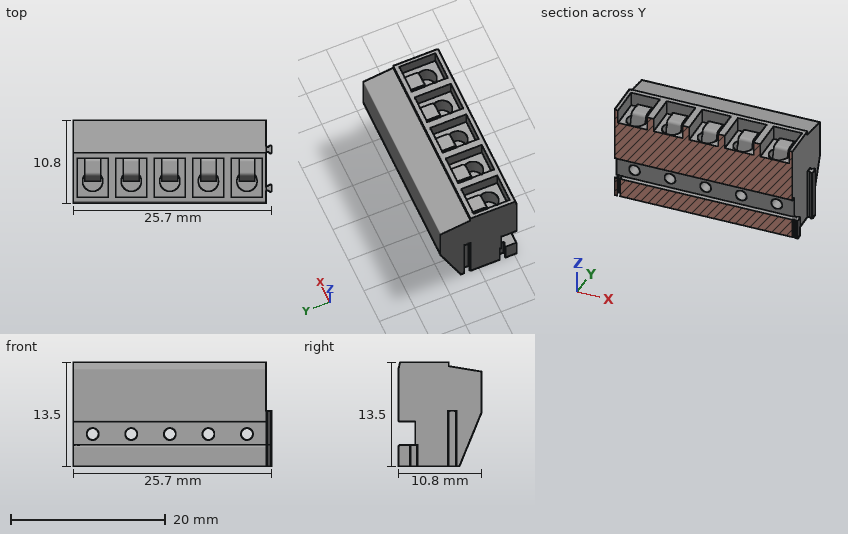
import cadquery as cq
import math


total_length = 25.7
depth = 10.8
height = 13.5
rail_reach = 0.75
body_length = total_length - rail_reach

pole_count = 5
pitch = body_length / pole_count
row_shift = 0.03

roof_step_y = 6.55
roof_step_z = 12.98
back_top_z = 12.28
back_knee_z = 7.0
back_foot_y = 7.92
notch_y = 2.18
ledge_z = 2.8
notch_top_z = 5.78
front_bevel_z = 12.57
front_bevel_y = 0.2
brow_radius = 0.2
back_radius = 0.13
lip_radius = 0.2
bevel_radius = 0.51
ledge_radius = 0.33

wire_hole_diameter = 1.52
wire_hole_z = 4.2

pocket_width = 4.0
pocket_front_y = 0.8
pocket_back_y = 5.89
pocket_floor_z = 11.55

well_diameter = 2.62
well_y = 2.88
well_floor_z = 9.0

lever_width = 2.03
lever_top_z = pocket_floor_z + 0.57
lever_wall_z = pocket_floor_z + 0.35
lever_crest_y = 5.42
lever_bend_y = 4.03
lever_bend_radius = 0.5

rail_neck_half = 0.3
rail_neck_x = 0.23
rail_head_x = 0.57
head_overhang = 0.13
slot_clearance = 0.03
front_rail_y = 1.98
front_mouth_half = 0.39
back_rail_y = 7.0
back_mouth_half = 0.44
back_rail_height = 7.17
rails = [
    (front_rail_y, front_mouth_half, ledge_z),
    (back_rail_y, back_mouth_half, back_rail_height),
]


def make_body():
    """Extrude the end profile along X and round its exposed long edges."""
    profile = [
        (0, 0),
        (back_foot_y, 0),
        (depth, back_knee_z),
        (depth, back_top_z),
        (roof_step_y, roof_step_z),
        (roof_step_y, height),
        (front_bevel_y, height),
        (0, front_bevel_z),
        (0, notch_top_z),
        (notch_y, notch_top_z),
        (notch_y, ledge_z),
        (0, ledge_z),
    ]
    body = cq.Workplane("YZ").polyline(profile).close().extrude(body_length)
    rounded_edges = [
        (front_bevel_y, height, brow_radius),
        (0, front_bevel_z, bevel_radius),
        (depth, back_top_z, back_radius),
        (0, notch_top_z, lip_radius),
        (0, ledge_z, ledge_radius),
    ]
    for y, z, radius in rounded_edges:
        edge = cq.selectors.NearestToPointSelector((body_length / 2, y, z))
        body = body.edges("|X").edges(edge).fillet(radius)
    return body


def make_pole_cut(x):
    """Pocket, well and wire hole of the pole centred at x."""
    pocket = cq.Workplane("XY").box(
        pocket_width,
        pocket_back_y - pocket_front_y,
        height - pocket_floor_z,
        centered=(True, False, False),
    ).translate((x, pocket_front_y, pocket_floor_z))
    well = (
        cq.Workplane("XY", origin=(x, well_y, well_floor_z))
        .circle(well_diameter / 2)
        .extrude(height - well_floor_z)
    )
    wire_hole = (
        cq.Workplane("XZ", origin=(x, 0, wire_hole_z))
        .circle(wire_hole_diameter / 2)
        .extrude(-depth)
    )
    return pocket.union(well).union(wire_hole)


def make_lever(x):
    """Spring lever from the pocket's back wall, bending down to the middle of the well floor."""
    bend_center_z = lever_top_z - lever_bend_radius
    run = lever_bend_y - well_y
    drop = bend_center_z - well_floor_z
    tip_distance = math.hypot(run, drop)
    bend_angle = math.atan2(drop, run) + math.asin(lever_bend_radius / tip_distance)

    def bend_point(angle):
        return (
            lever_bend_y - lever_bend_radius * math.sin(angle),
            bend_center_z + lever_bend_radius * math.cos(angle),
        )

    return (
        cq.Workplane("YZ", origin=(x - lever_width / 2, 0, 0))
        .moveTo(well_y, well_floor_z)
        .lineTo(*bend_point(bend_angle))
        .threePointArc(bend_point(bend_angle / 2), bend_point(0))
        .lineTo(lever_crest_y, lever_top_z)
        .tangentArcPoint((pocket_back_y, lever_wall_z), relative=False)
        .lineTo(pocket_back_y, well_floor_z)
        .close()
        .extrude(lever_width)
    )


def make_rail(x, y, mouth_half, rail_height, clearance=0.0):
    """Waisted dovetail bar that starts at x and points toward +X."""
    half_outline = [
        (0, mouth_half + clearance),
        (rail_neck_x, rail_neck_half + clearance),
        (rail_head_x, mouth_half + head_overhang + clearance),
        (rail_reach + clearance, mouth_half + clearance),
    ]
    mirrored = [(px, -py) for px, py in reversed(half_outline)]
    return (
        cq.Workplane("XY", origin=(x, y, 0))
        .polyline(half_outline + mirrored)
        .close()
        .extrude(rail_height)
    )


result = make_body()

for index in range(pole_count):
    pole_x = (index + 0.5) * pitch + row_shift
    result = result.cut(make_pole_cut(pole_x)).union(make_lever(pole_x))

for rail_y, mouth_half, rail_height in rails:
    result = result.cut(make_rail(0, rail_y, mouth_half, rail_height, slot_clearance))
    result = result.union(make_rail(body_length, rail_y, mouth_half, rail_height))